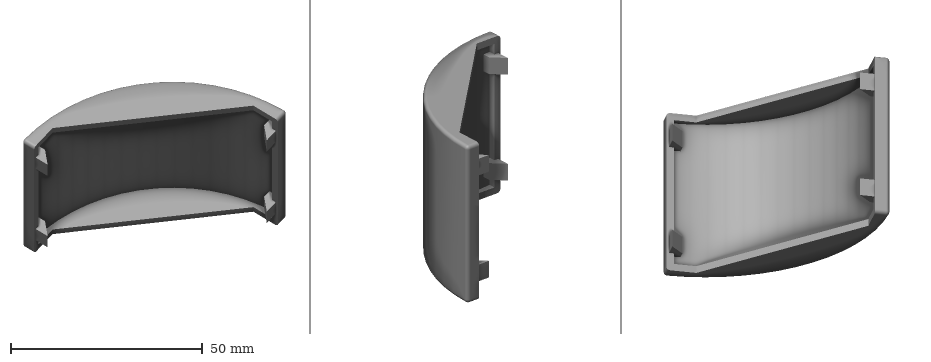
import cadquery as cq
import math

outer_radius = 49.4
height = 45.65
skin = 2.0
end_depth = 4.0
end_length = 8.0
edge_round = 1.0

hook_height = 4.85
hook_end_gap = 5.05
hook_inset = 0.7
hook_width = 3.5
hook_reach = 3.9

axis = (outer_radius, 0)
inner_radius = outer_radius - skin
diagonal = math.sqrt(0.5)


def arc_middle(radius):
    """Point on the diagonal of an arc of this radius about the cover axis."""
    return (axis[0] - radius * diagonal, radius * diagonal)


def mirror_across_diagonal(point):
    """Swap a plan point between the two ends of the cover."""
    x, y = point
    return (outer_radius - y, outer_radius - x)


def make_blank():
    """Solid segment with the slanted back and a flat rim at either end."""
    return (
        cq.Workplane("XY")
        .moveTo(0, 0)
        .threePointArc(arc_middle(outer_radius), (outer_radius, outer_radius))
        .lineTo(outer_radius, outer_radius - end_depth)
        .lineTo(outer_radius - end_length, outer_radius - end_depth)
        .lineTo(end_depth, end_length)
        .lineTo(end_depth, 0)
        .close()
        .extrude(height)
    )


def round_outer_edges(blank):
    """Round every edge around the curved face and the top and bottom of the end faces."""
    curved_edges = blank.faces("%CYLINDER").edges()
    end_edges = blank.faces(">X or <Y").edges("|X or |Y")
    return blank.newObject(curved_edges.vals() + end_edges.vals()).fillet(edge_round)


def make_cavity():
    """Space inside the skin, with a wall left at each end, at the top and at the bottom."""
    inner_disc = (
        cq.Workplane("XY").workplane(offset=skin)
        .center(*axis).circle(inner_radius).extrude(height - 2 * skin)
    )
    inner_square = (
        cq.Workplane("XY").workplane(offset=skin)
        .moveTo(0, skin)
        .rect(outer_radius - skin, outer_radius - skin, centered=False)
        .extrude(height - 2 * skin)
    )
    return inner_disc.intersect(inner_square)


def make_hook(mirrored, bottom):
    """Hook rooted in the skin, with a 45 degree nose beyond the end rim."""
    back = outer_radius - hook_inset
    front = back - hook_width
    root = outer_radius - skin
    tip = outer_radius - end_depth - hook_reach
    outline = [(front, root), (back, root), (back, tip), (front, tip + hook_width)]
    if mirrored:
        outline = [mirror_across_diagonal(point) for point in outline]
    return cq.Workplane("XY").workplane(offset=bottom).polyline(outline).close().extrude(hook_height)


cover = round_outer_edges(make_blank()).cut(make_cavity())
for hook_bottom in (hook_end_gap, height - hook_end_gap - hook_height):
    for mirrored in (False, True):
        cover = cover.union(make_hook(mirrored, hook_bottom))

result = cq.Compound.makeCompound([cover.val()])